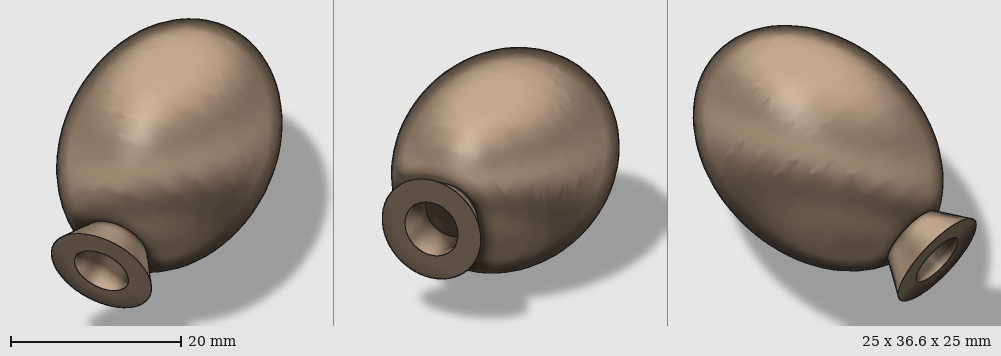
import cadquery as cq
import math

total_length = 36.65
egg_diameter = 24.95
egg_length = 33.32

foot_height = 4.2
foot_diameter = 12.83

bore_diameter = 6.9
bore_depth = 5.5

egg_radius = egg_diameter / 2
egg_half_length = egg_length / 2
egg_center = total_length - egg_half_length

neck_offset = (egg_center - foot_height) / egg_half_length
neck_radius = egg_radius * math.sqrt(1 - neck_offset**2)


def make_egg():
    """Ellipsoid of revolution about Y, its far tip at the full length."""
    return (
        cq.Workplane("XY")
        .ellipseArc(egg_radius, egg_half_length, -90, 90, startAtCurrent=False)
        .close()
        .revolve(360, (0, 0, 0), (0, 1, 0))
        .translate((0, egg_center, 0))
    )


def make_foot():
    """Cone frustum flaring from the neck to the foot face, run into the egg."""
    foot_radius = foot_diameter / 2
    return (
        cq.Workplane("XY")
        .polyline([
            (0, 0),
            (foot_radius, 0),
            (neck_radius, foot_height),
            (neck_radius, egg_center),
            (0, egg_center),
        ])
        .close()
        .revolve(360, (0, 0, 0), (0, 1, 0))
    )


def make_bore():
    """Blind round hole entering from the foot face."""
    return cq.Workplane("XZ").circle(bore_diameter / 2).extrude(-bore_depth)


result = make_egg().union(make_foot()).cut(make_bore())